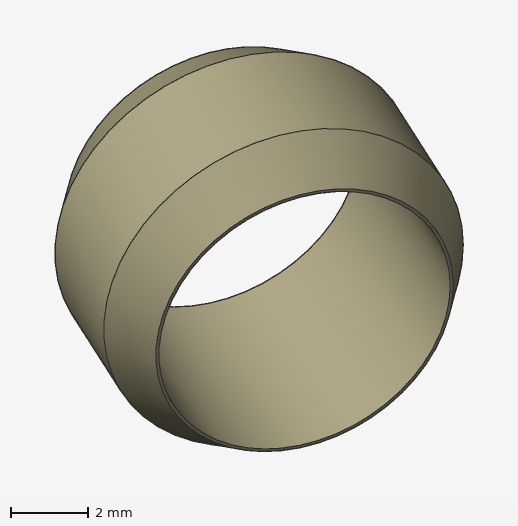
import cadquery as cq
import math

length = 6.5
outer_diameter = 10.0
bore_diameter = 8.1
taper_length = 1.5
taper_angle = 30.0

outer_radius = outer_diameter / 2
bore_radius = bore_diameter / 2
end_radius = outer_radius - taper_length * math.tan(math.radians(taper_angle))
half_length = length / 2
half_band = half_length - taper_length


def make_ring():
    """Ring about the X axis: a cylindrical band tapering to a thin rim at each end."""
    half_section = [
        (-half_length, bore_radius),
        (-half_length, end_radius),
        (-half_band, outer_radius),
        (half_band, outer_radius),
        (half_length, end_radius),
        (half_length, bore_radius),
    ]
    axis_start = (0, 0, 0)
    axis_end = (1, 0, 0)
    return cq.Workplane("XY").polyline(half_section).close().revolve(360, axis_start, axis_end)


result = make_ring()